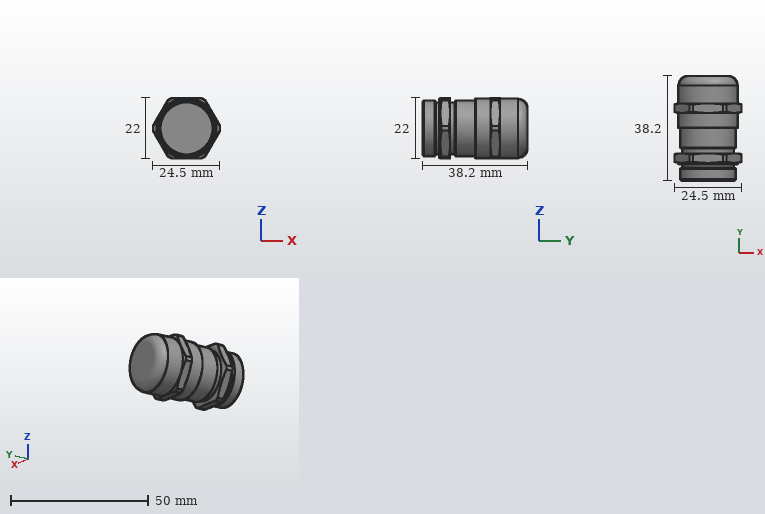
import cadquery as cq
import math

LENGTH = 38.25
ACROSS_FLATS = 22.0
CORNER_RADIUS = 12.255
THREAD_RADIUS = 10.17
NECK_RADIUS = 9.5
CAP_RADIUS = 10.9
END_CHAMFER = 0.6
GROOVE_CHAMFER = 0.5

FRONT_THREAD_END = 4.85
REAR_THREAD_START = 11.7
CAP_START = 19.2
CAP_CHAMFER = 0.2
DOME_RADIUS = 3.5
DOME_BASE_RADIUS = 10.75

NUT_WIDTH = 3.5
LOWER_NUT_START = 6.55
UPPER_NUT_START = 24.7
NUT_CHAMFER = 0.42
NUT_FACE_RADIUS = 10.85
RING_FRONT = 6.0
RING_OUTER_RADIUS = 10.97
RING_TUBE_RADIUS = 0.75
RING_RADIUS = RING_OUTER_RADIUS - RING_TUBE_RADIUS
RING_CENTER = RING_FRONT + RING_TUBE_RADIUS


def revolve_about_y(profile):
    return profile.close().revolve(360, (0, 0, 0), (0, 1, 0))


def hex_nut(start):
    """Hexagon with corners on the X axis, trimmed by a double-chamfered cylinder."""
    hexagon = (
        cq.Workplane("XZ", origin=(0, start, 0))
        .polygon(6, ACROSS_FLATS / math.cos(math.pi / 6))
        .extrude(-NUT_WIDTH)
    )
    end = start + NUT_WIDTH
    envelope = revolve_about_y(
        cq.Workplane("XY")
        .moveTo(0, start)
        .lineTo(NUT_FACE_RADIUS, start)
        .lineTo(CORNER_RADIUS, start + NUT_CHAMFER)
        .lineTo(CORNER_RADIUS, end - NUT_CHAMFER)
        .lineTo(NUT_FACE_RADIUS, end)
        .lineTo(0, end)
    )
    return hexagon.intersect(envelope)


def gland_body():
    """Stepped round body from the threaded end to the domed cap."""
    dome_start = LENGTH - DOME_RADIUS
    dome_center_radius = DOME_BASE_RADIUS - DOME_RADIUS
    dome_reach = DOME_RADIUS * math.sqrt(0.5)
    return revolve_about_y(
        cq.Workplane("XY")
        .lineTo(NECK_RADIUS, 0)
        .lineTo(THREAD_RADIUS, END_CHAMFER)
        .lineTo(THREAD_RADIUS, FRONT_THREAD_END - GROOVE_CHAMFER)
        .lineTo(NECK_RADIUS, FRONT_THREAD_END)
        .lineTo(NECK_RADIUS, REAR_THREAD_START)
        .lineTo(THREAD_RADIUS, REAR_THREAD_START + GROOVE_CHAMFER)
        .lineTo(THREAD_RADIUS, CAP_START)
        .lineTo(CAP_RADIUS - CAP_CHAMFER, CAP_START)
        .lineTo(CAP_RADIUS, CAP_START + CAP_CHAMFER)
        .lineTo(CAP_RADIUS, dome_start)
        .lineTo(DOME_BASE_RADIUS, dome_start)
        .threePointArc(
            (dome_center_radius + dome_reach, dome_start + dome_reach),
            (dome_center_radius, LENGTH),
        )
        .lineTo(0, LENGTH)
    )


def sealing_ring():
    """O-ring around the neck, partly buried in the lower nut."""
    return cq.Workplane("XY").add(
        cq.Solid.makeTorus(
            RING_RADIUS,
            RING_TUBE_RADIUS,
            cq.Vector(0, RING_CENTER, 0),
            cq.Vector(0, 1, 0),
        )
    )


result = (
    gland_body()
    .union(sealing_ring())
    .union(hex_nut(LOWER_NUT_START))
    .union(hex_nut(UPPER_NUT_START))
)